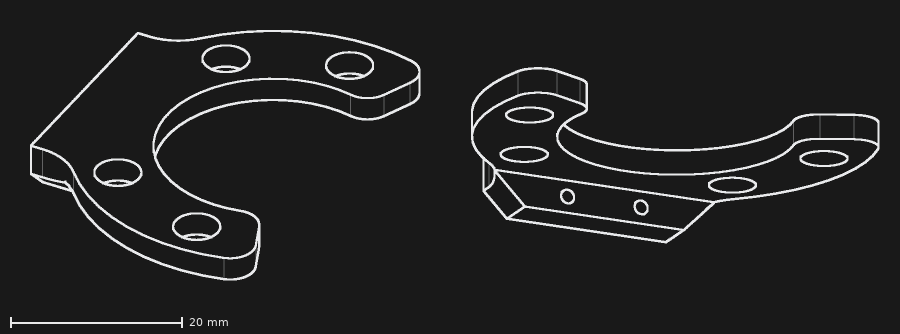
import cadquery as cq
import math

outer_radius = 23.95
bore_radius = 14.0
plate_thickness = 3.0
tip_angle = 67.5
tip_fillet = 3.0

flange_face_x = -25.0
flange_half_width = 13.25
neck_fillet = 7.2
lug_thickness = 5.0
lug_bottom_half_width = 10.25
total_height = 7.0

ring_hole_diameter = 5.5
ring_hole_circle_radius = 18.95
ring_hole_angles = (90, 135, 225, 270)
lug_hole_diameter = 1.7
lug_hole_offset = 4.75
lug_hole_depth_from_top = 5.0

plate_bottom = total_height - plate_thickness


def polar(radius, angle):
    """Point at a radius and an angle in degrees."""
    return (radius * math.cos(math.radians(angle)), radius * math.sin(math.radians(angle)))


def fillet_corners(body, points, radius):
    """Round the vertical edges that pass through the given plan points."""
    for x, y in points:
        edge = cq.selectors.NearestToPointSelector((x, y, total_height / 2))
        body = body.edges("|Z").edges(edge).fillet(radius)
    return body


def make_outline():
    """Full-height prism of the plan shape: open ring, flange and rounded corners."""
    ring = cq.Workplane("XY").circle(outer_radius).extrude(total_height)
    flange = (
        cq.Workplane("XY")
        .rect(-flange_face_x, 2 * flange_half_width)
        .extrude(total_height)
        .translate((flange_face_x / 2, 0, 0))
    )
    bore = cq.Workplane("XY").circle(bore_radius).extrude(total_height)

    wedge_reach = 2 * outer_radius
    tip_x, tip_y = polar(wedge_reach, tip_angle)
    opening = (
        cq.Workplane("XY")
        .polyline([(0, 0), (tip_x, -tip_y), (wedge_reach, 0), (tip_x, tip_y)])
        .close()
        .extrude(total_height)
    )
    body = ring.union(flange).cut(bore).cut(opening)

    neck_x = -math.sqrt(outer_radius**2 - flange_half_width**2)
    neck_corners = [(neck_x, side * flange_half_width) for side in (1, -1)]
    tip_corners = [
        polar(radius, side * tip_angle)
        for radius in (outer_radius, bore_radius)
        for side in (1, -1)
    ]
    body = fillet_corners(body, neck_corners, neck_fillet)
    return fillet_corners(body, tip_corners, tip_fillet)


def make_height_envelope():
    """Plate slab plus the lug below it, whose sides slope at 45 degrees."""
    slab = (
        cq.Workplane("XY")
        .workplane(offset=plate_bottom)
        .rect(4 * outer_radius, 4 * outer_radius)
        .extrude(plate_thickness)
    )
    lug_top_half_width = lug_bottom_half_width + plate_bottom
    lug = (
        cq.Workplane("YZ", origin=(flange_face_x, 0, 0))
        .polyline([
            (-lug_bottom_half_width, 0),
            (lug_bottom_half_width, 0),
            (lug_top_half_width, plate_bottom),
            (-lug_top_half_width, plate_bottom),
        ])
        .close()
        .extrude(lug_thickness)
    )
    return slab.union(lug)


def make_ring_holes():
    """Vertical through holes on the ring's hole circle."""
    return (
        cq.Workplane("XY")
        .pushPoints([polar(ring_hole_circle_radius, angle) for angle in ring_hole_angles])
        .circle(ring_hole_diameter / 2)
        .extrude(total_height)
    )


def make_lug_holes():
    """Horizontal holes along X through the lug."""
    hole_z = total_height - lug_hole_depth_from_top
    return (
        cq.Workplane("YZ", origin=(flange_face_x, 0, 0))
        .pushPoints([(side * lug_hole_offset, hole_z) for side in (1, -1)])
        .circle(lug_hole_diameter / 2)
        .extrude(lug_thickness)
    )


result = (
    make_outline()
    .intersect(make_height_envelope())
    .cut(make_ring_holes())
    .cut(make_lug_holes())
)